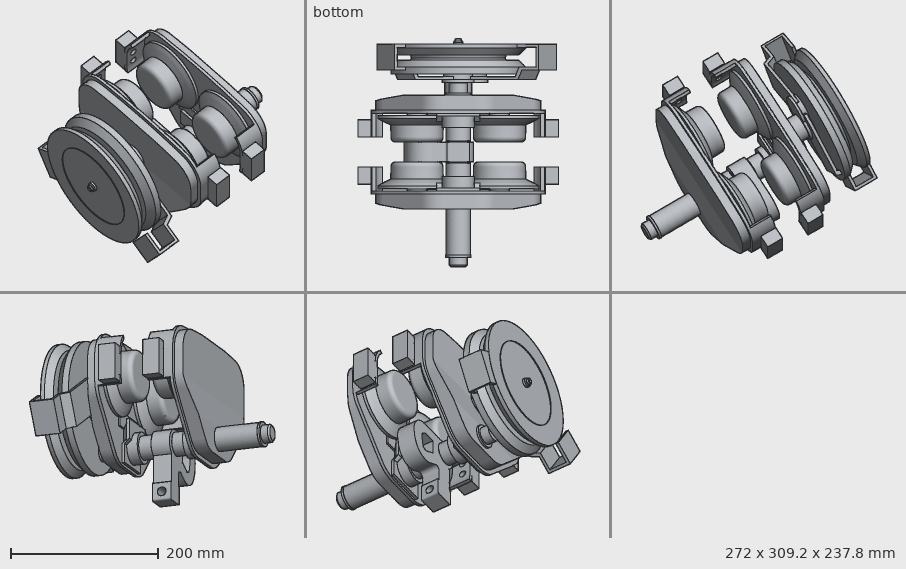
import cadquery as cq
import math


plate_half_width = 118.0
plate_top_z = 79.8
plate_top_rise = 8.5
plate_side_bottom_z = -10.8
plate_bottom_half_width = 40.5
plate_bottom_z = -95.0
plate_corner_radius = 40.8
plate_inner_depth = 52.5
plate_outer_depth = 57.0

case_inset = 6.2
case_upper_depth = 69.5
case_lower_depth = 77.3
case_slope_top_z = -3.0
case_slope_bottom_z = -49.5
case_top_taper = 1.0

wheel_x = 56.0
wheel_z = 20.7
wheel_flange_radius = 53.2
wheel_pin_radius = 13.3
wheel_cone_radius = 47.0
wheel_tread_radius = 36.0
wheel_tread_step = 0.3
wheel_back_depth = 49.8
wheel_edge_depth = 45.8
wheel_cone_depth = 42.0
wheel_tread_depth = 36.8
wheel_crown_depth = 28.0
wheel_end_depth = 13.3
wheel_end_round = 6.8

guard_thickness = 5.0
guard_inner_depth = 20.0
guard_corner_z = 36.0
guard_bottom_z = -5.5
bumper_outer_x = 272.0 / 2
bumper_outer_depth = 44.0
bumper_bottom_z = -4.5
bumper_top_z = 45.5
bumper_hole_radius = 5.0
bumper_hole_spacing = 18.5
bumper_hole_end_x = 123.7

shaft_z = -64.3
shaft_radius = 25.0 / 2
shaft_rear_y = 155.5
shaft_front_y = -93.5
shaft_chamfer = 2.5
washer_radius = 16.7
washer_count = 5
end_washer_radius = 17.3
end_washer_inner_y = 139.8
end_washer_outer_y = 143.0
front_washer_thickness = 2.8
sleeve_inner_depth = 15.2

collar_radius = 22.0
collar_inner_depth = 33.0
stiffener_half_width = 29.5
stiffener_thickness = 7.7 / 2
stiffener_seat_depth = 48.5
stiffener_raised_depth = 41.8
stiffener_bottom_z = -91.0
stiffener_bend_z = -64.3
stiffener_top_z = -29.5
web_foot_half_width = 22.5
pad_half_width = 42.0
web_top_z = -42.0
pad_depth = 50.0
pad_top_z = -21.3

hanger_half_length = 27.0 / 2
hanger_boss_radius = 20.7
stem_half_width = 12.5
foot_half_width = 15.5
foot_top_z = -120.5
foot_bottom_z = -146.3
foot_round = 2.8
neck_round = 2.2
hook_neck_z = -104.0
foot_hole_radius = 6.2
foot_hole_z = -133.5

pulley_radius = 91.5
groove_mouth_radius = 82.0
groove_floor_radius = 65.3
groove_center_radius = 63.7
pulley_back_depth = 105.8
pulley_back_edge_depth = 115.0
groove_back_depth = 124.5
groove_center_depth = 127.5
groove_front_depth = 131.5
pulley_front_edge_depth = 140.7
pulley_face_depth = 146.5
axle_collar_radius = 6.5
axle_nut_radius = 5.5
axle_end_radius = 4.3
axle_tip_radius = 3.0
axle_collar_depth = 148.5
axle_nut_depth = 150.3
axle_end_depth = 153.0
axle_tip_depth = 153.7
face_recess_radius = 62.0
face_recess_depth = 1.2
stub_radius = 36.8 / 2
back_lobe_radius = 22.0
front_lobe_radius = 20.0
back_flange_depth = 94.0
second_lobe_x = 18.2
second_lobe_z = 15.8

guide_center_x = 11.5
guide_center_z = 19.0
guide_angle = 30.0
guide_width = 48.3
guide_thickness = 4.3
guide_back_depth = 98.0
guide_bend_reach = 94.0
guide_box_reach = 100.2
guide_end_reach = 253.3 / 2
guide_lip_reach = 186.0 / 2
guide_box_depth = 111.0
guide_front_depth = 146.3
guide_shoulder_half_width = 24.7
guide_top_half_width = 10.0
guide_top_height = 18.0


def on_depth(depth):
    """Workplane parallel to XZ at a depth; extruding goes toward -Y."""
    return cq.Workplane("XZ", origin=(0, -depth, 0))


def cylinder(radius, start_depth, end_depth, x=0.0, z=0.0):
    return on_depth(start_depth).center(x, z).circle(radius).extrude(end_depth - start_depth)


def turned(profile):
    """Solid of revolution about the Y axis, from (radius, depth) points."""
    points = [(radius, -depth) for radius, depth in profile]
    return cq.Workplane("XY").polyline(points).close().revolve(360, (0, 0), (0, 1))


def across_x(yz_points, half_width):
    """Prism along X, centered on X = 0, with a closed YZ outline."""
    return cq.Workplane("YZ").polyline(yz_points).close().extrude(half_width, both=True)


def rounded_plate(inset, start_depth, end_depth):
    """Side plate outline, moved inward by the inset, between two depths."""
    eave_z = plate_top_z - plate_top_rise
    sketch = (
        on_depth(start_depth)
        .moveTo(-plate_half_width, plate_side_bottom_z)
        .lineTo(-plate_half_width, eave_z)
        .threePointArc((0, plate_top_z), (plate_half_width, eave_z))
        .lineTo(plate_half_width, plate_side_bottom_z)
        .lineTo(plate_bottom_half_width, plate_bottom_z)
        .lineTo(-plate_bottom_half_width, plate_bottom_z)
        .close()
    )
    if inset > 0:
        sketch = sketch.offset2D(-inset, "intersection")
    plate = sketch.extrude(end_depth - start_depth)
    return plate.edges("|Y").fillet(plate_corner_radius - inset)


def gear_case():
    """Raised case whose face slopes outward toward the bottom and whose top tapers."""
    case = rounded_plate(case_inset, plate_outer_depth, case_lower_depth)
    case_top_z = plate_top_z - case_inset
    waste = across_x(
        [
            (-plate_outer_depth, plate_top_z),
            (-plate_outer_depth, case_top_z),
            (-case_upper_depth, case_top_z - case_top_taper),
            (-case_upper_depth, case_slope_top_z),
            (-case_lower_depth, case_slope_bottom_z),
            (-case_lower_depth, plate_top_z),
        ],
        plate_half_width,
    )
    return case.cut(waste)


def wheel(x):
    body = turned(
        [
            (0, plate_inner_depth),
            (wheel_pin_radius, plate_inner_depth),
            (wheel_pin_radius, wheel_back_depth),
            (wheel_flange_radius, wheel_back_depth),
            (wheel_flange_radius, wheel_edge_depth),
            (wheel_cone_radius, wheel_cone_depth),
            (wheel_tread_radius, wheel_tread_depth),
            (wheel_tread_radius - wheel_tread_step, wheel_crown_depth),
            (wheel_tread_radius - 2 * wheel_tread_step, wheel_end_depth),
            (0, wheel_end_depth),
        ]
    )
    return body.faces(">Y").edges().fillet(wheel_end_round).translate((x, 0, wheel_z))


def side_guards():
    """Plates along both ends of the side plate, up to the middle of its upper corners."""
    ring = rounded_plate(0, guard_inner_depth, plate_inner_depth)
    ring = ring.cut(rounded_plate(guard_thickness, guard_inner_depth, plate_inner_depth))
    corner_x = plate_half_width - plate_corner_radius
    reach = 2 * plate_corner_radius
    end_sector = (
        on_depth(guard_inner_depth)
        .polyline(
            [
                (corner_x, guard_corner_z),
                (corner_x + reach, guard_corner_z + reach),
                (corner_x + reach, guard_bottom_z),
                (corner_x, guard_bottom_z),
            ]
        )
        .close()
        .extrude(plate_inner_depth - guard_inner_depth)
    )
    return ring.intersect(end_sector.union(end_sector.mirror("YZ")))


def bumper(side):
    length = bumper_outer_x - plate_half_width
    return cq.Workplane("XY").box(
        length, bumper_outer_depth - guard_inner_depth, bumper_top_z - bumper_bottom_z
    ).translate(
        (
            side * (plate_half_width + length / 2),
            -(guard_inner_depth + bumper_outer_depth) / 2,
            (bumper_bottom_z + bumper_top_z) / 2,
        )
    )


def bumper_holes(side):
    """Blind holes through the side guard into the bumper."""
    middle_z = (bumper_bottom_z + bumper_top_z) / 2
    middle_depth = (guard_inner_depth + bumper_outer_depth) / 2
    start_x = wheel_x + wheel_flange_radius
    return (
        cq.Workplane("YZ", origin=(side * start_x, -middle_depth, middle_z))
        .rarray(3, bumper_hole_spacing, 1, 2)
        .circle(bumper_hole_radius)
        .extrude(side * (bumper_hole_end_x - start_x))
    )


def stiffener():
    """Joggled strip on the inside of the plate, with a tapered web and a pad behind its raised part."""
    raise_height = stiffener_seat_depth - stiffener_raised_depth
    raised_z = stiffener_bend_z + raise_height
    raised_back = stiffener_raised_depth + stiffener_thickness
    strip = across_x(
        [
            (-plate_inner_depth, stiffener_bottom_z),
            (-stiffener_seat_depth, stiffener_bottom_z),
            (-stiffener_seat_depth, stiffener_bend_z),
            (-stiffener_raised_depth, raised_z),
            (-stiffener_raised_depth, stiffener_top_z),
            (-raised_back, stiffener_top_z),
            (-raised_back, raised_z),
            (-plate_inner_depth, stiffener_bend_z),
        ],
        stiffener_half_width,
    )
    web = across_x(
        [
            (-plate_inner_depth, stiffener_bend_z),
            (-raised_back, raised_z),
            (-raised_back, web_top_z + plate_inner_depth - raised_back),
            (-plate_inner_depth, web_top_z),
        ],
        stiffener_half_width,
    )
    tapered_sides = cq.Workplane("XY").polyline(
        [
            (-web_foot_half_width, -plate_inner_depth),
            (-stiffener_half_width, -raised_back),
            (stiffener_half_width, -raised_back),
            (web_foot_half_width, -plate_inner_depth),
        ]
    )
    web = web.intersect(tapered_sides.close().extrude(plate_bottom_z))
    pad = across_x(
        [
            (-plate_inner_depth, web_top_z),
            (-pad_depth, web_top_z),
            (-pad_depth, pad_top_z),
            (-plate_inner_depth, pad_top_z),
        ],
        pad_half_width,
    )
    return strip.union(web).union(pad)


def front_trolley():
    trolley = rounded_plate(0, plate_inner_depth, plate_outer_depth)
    trolley = trolley.union(gear_case()).union(side_guards()).union(stiffener())
    trolley = trolley.union(cylinder(collar_radius, collar_inner_depth, plate_inner_depth, z=shaft_z))
    for side in (-1, 1):
        trolley = trolley.union(wheel(side * wheel_x)).union(bumper(side)).cut(bumper_holes(side))
    return trolley.cut(cylinder(shaft_radius, 0, case_lower_depth, z=shaft_z))


def suspension_shaft():
    shaft = cylinder(shaft_radius, -shaft_rear_y, -shaft_front_y, z=shaft_z)
    shaft = shaft.faces(">Y").edges().chamfer(shaft_chamfer)
    rings = [
        (end_washer_radius, -end_washer_outer_y, -end_washer_inner_y),
        (washer_radius, -collar_inner_depth, -sleeve_inner_depth),
        (washer_radius, sleeve_inner_depth, collar_inner_depth),
        (washer_radius, case_lower_depth, case_lower_depth + front_washer_thickness),
    ]
    for radius, start_depth, end_depth in rings:
        shaft = shaft.union(cylinder(radius, start_depth, end_depth, z=shaft_z))
    washer_length = (end_washer_inner_y - case_lower_depth) / washer_count
    for index in range(washer_count):
        start_depth = -end_washer_inner_y + index * washer_length
        washer = cylinder(washer_radius, start_depth, start_depth + washer_length, z=shaft_z)
        shaft = shaft.union(washer, clean=False)
    return shaft


def hanger_hook():
    """C-shaped hook from the shaft boss round to the stem, with its opening."""
    top_z = shaft_z + hanger_boss_radius
    length = 2 * hanger_half_length
    hook = (
        on_depth(-hanger_half_length)
        .moveTo(0, top_z)
        .lineTo(-49.5, top_z)
        .threePointArc((-66.8, -52.5), (-73.5, -71.0))
        .threePointArc((-72.5, -83.5), (-67.7, -96.0))
        .threePointArc((-53.2, -107.5), (-34.3, -106.0))
        .lineTo(-22.5, -99.5)
        .threePointArc((-16.0, -98.7), (-stem_half_width, hook_neck_z))
        .lineTo(0, hook_neck_z)
        .close()
        .extrude(length)
    )
    opening = (
        on_depth(-hanger_half_length)
        .moveTo(-27.8, -60.3)
        .lineTo(-45.0, -60.3)
        .threePointArc((-51.5, -64.3), (-53.8, -72.7))
        .threePointArc((-53.2, -81.5), (-50.7, -88.8))
        .threePointArc((-47.0, -90.5), (-41.5, -90.0))
        .lineTo(-27.8, -82.5)
        .close()
        .extrude(length)
    )
    return hook.cut(opening)


def load_hanger():
    length = 2 * hanger_half_length
    boss = cylinder(hanger_boss_radius, -hanger_half_length, hanger_half_length, z=shaft_z)
    stem_height = shaft_z - foot_top_z
    stem = cq.Workplane("XY").box(2 * stem_half_width, length, stem_height)
    stem = stem.translate((0, 0, foot_top_z + stem_height / 2))
    foot_height = foot_top_z - foot_bottom_z
    foot = cq.Workplane("XY").box(2 * foot_half_width, length, foot_height)
    foot = foot.edges("|Y and <Z").fillet(foot_round)
    foot = foot.translate((0, 0, foot_bottom_z + foot_height / 2))
    neck_corners = [(-stem_half_width, 0, foot_top_z), (stem_half_width, 0, foot_top_z)]
    foot = foot.union(stem)
    for corner in neck_corners:
        foot = foot.edges(cq.selectors.NearestToPointSelector(corner)).fillet(neck_round)
    foot_hole = cq.Workplane("YZ").center(0, foot_hole_z).circle(foot_hole_radius)
    bore = cylinder(shaft_radius, -hanger_half_length, hanger_half_length, z=shaft_z)
    hanger = boss.union(hanger_hook()).union(foot)
    return hanger.cut(bore).cut(foot_hole.extrude(foot_half_width, both=True))


def pulley_wheel():
    """Grooved rim with a recessed face and a stepped axle end."""
    recess_floor_depth = pulley_face_depth - face_recess_depth
    return turned(
        [
            (0, pulley_back_depth),
            (pulley_radius, pulley_back_depth),
            (pulley_radius, pulley_back_edge_depth),
            (groove_mouth_radius, groove_back_depth),
            (groove_floor_radius, groove_back_depth),
            (groove_center_radius, groove_center_depth),
            (groove_floor_radius, groove_front_depth),
            (groove_mouth_radius, groove_front_depth),
            (pulley_radius, pulley_front_edge_depth),
            (pulley_radius, pulley_face_depth),
            (face_recess_radius, pulley_face_depth),
            (face_recess_radius, recess_floor_depth),
            (axle_collar_radius, recess_floor_depth),
            (axle_collar_radius, axle_collar_depth),
            (axle_nut_radius, axle_nut_depth),
            (axle_end_radius, axle_nut_depth),
            (axle_end_radius, axle_end_depth),
            (axle_tip_radius, axle_tip_depth),
            (0, axle_tip_depth),
        ]
    )


def lobed_plate(radius, start_depth, end_depth):
    """Two overlapping discs, one round the pulley axis and one up and to the side."""
    lobe = cylinder(radius, start_depth, end_depth)
    return lobe.union(cylinder(radius, start_depth, end_depth, second_lobe_x, second_lobe_z))


def guide_arm():
    """Arm pointing along +X: a flat strip that steps forward into an open box."""
    inner_end = guide_end_reach - guide_thickness
    inner_front = guide_front_depth - guide_thickness
    profile = [
        (0, guide_back_depth),
        (guide_bend_reach, guide_back_depth),
        (guide_box_reach, guide_box_depth),
        (guide_end_reach, guide_box_depth),
        (guide_end_reach, guide_front_depth),
        (guide_lip_reach, guide_front_depth),
        (guide_lip_reach, inner_front),
        (inner_end, inner_front),
        (inner_end, guide_box_depth + guide_thickness),
        (guide_box_reach - guide_thickness, guide_box_depth + guide_thickness),
        (guide_bend_reach - guide_thickness, guide_back_depth + guide_thickness),
        (0, guide_back_depth + guide_thickness),
    ]
    points = [(reach, -depth) for reach, depth in profile]
    return cq.Workplane("XY").polyline(points).close().extrude(guide_width / 2, both=True)


def chain_guide():
    """Both arms, with the peak where they cross trimmed to a low flat top."""
    right_arm = guide_arm().rotate((0, 0, 0), (0, 1, 0), guide_angle)
    arms = right_arm.union(right_arm.mirror("YZ"))
    slope = math.radians(guide_angle)
    shoulder_x = guide_shoulder_half_width
    shoulder_z = guide_width / 2 / math.cos(slope) - shoulder_x * math.tan(slope)
    above = (
        on_depth(guide_back_depth)
        .polyline(
            [
                (-shoulder_x, shoulder_z),
                (-guide_top_half_width, guide_top_height),
                (guide_top_half_width, guide_top_height),
                (shoulder_x, shoulder_z),
                (shoulder_x, guide_width),
                (-shoulder_x, guide_width),
            ]
        )
        .close()
        .extrude(guide_thickness)
    )
    return arms.cut(above).translate((guide_center_x, 0, guide_center_z))


def hand_pulley(trolley):
    """Pulley, chain guide and stub axle, with the stub trimmed to the gear case it stands on."""
    stub = cylinder(stub_radius, case_upper_depth, guide_back_depth).cut(trolley)
    back_flange = lobed_plate(back_lobe_radius, back_flange_depth, guide_back_depth)
    front_flange = lobed_plate(front_lobe_radius, guide_back_depth, pulley_back_depth)
    return pulley_wheel().union(front_flange).union(chain_guide()).union(back_flange).union(stub)


front = front_trolley()
trolleys = [front, front.mirror("XZ")]
shaft = suspension_shaft()
hanger = load_hanger()
pulley = hand_pulley(front)

result = cq.Compound.makeCompound(
    [body.solids().val() for body in (*trolleys, shaft, hanger, pulley)]
)